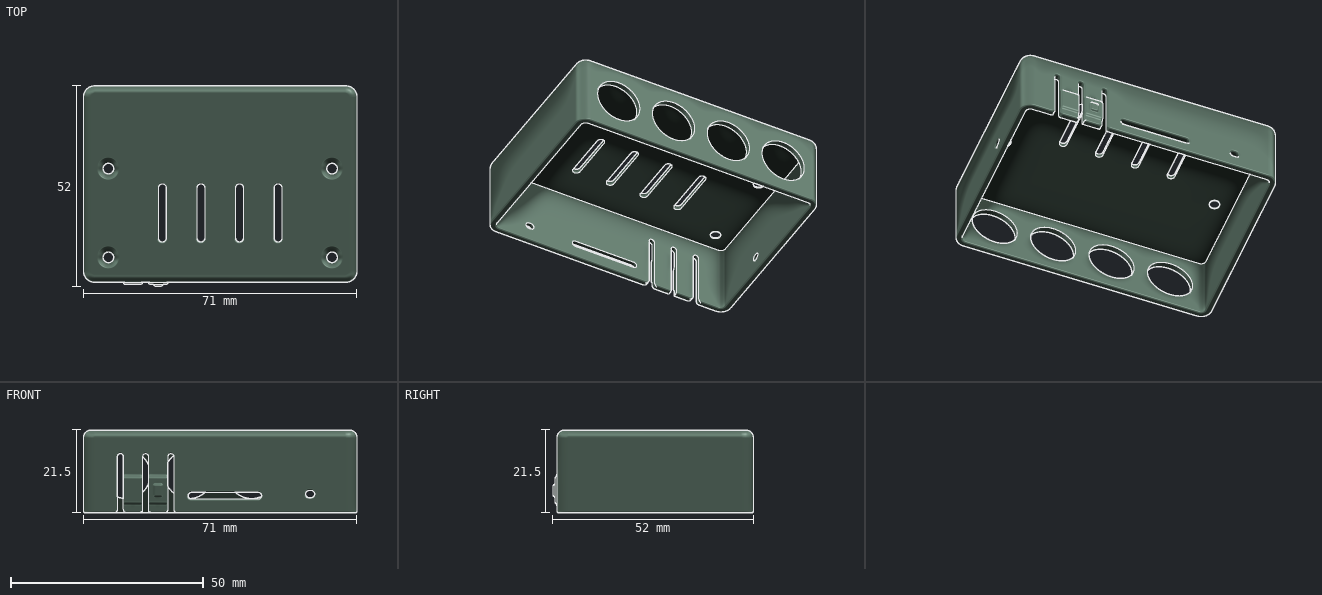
import cadquery as cq
import math

length = 71.0
depth = 51.0
height = 21.5
wall = 1.65
corner_radius = 3.0
top_radius = 2.0
edge_radius = 0.5

cut_reach = 2 * wall
tolerance = 0.01

front_y = -depth / 2
back_y = depth / 2
left_x = -length / 2

board_clearance = 1.35
board_width = 30.0
board_y = front_y + wall + board_clearance + board_width / 2

screw_pitch_x = 58.0
screw_pitch_y = 23.0
screw_hole_diameter = 2.7
screw_head_diameter = 5.55
screw_head_angle = 90.0

vent_count = 4
vent_pitch = 10.0
vent_length = 15.0
vent_width = 2.0

finger_slot_pitch = 6.55
finger_slot_width = 1.5
finger_slot_top = 15.35
slot_foot_radius = 1.0
first_slot_x = -25.9
finger_slot_xs = [first_slot_x + i * finger_slot_pitch for i in range(3)]

root_depth = 0.5

pad_height = 0.5
pad_curve_radius = 1.0
pad_bottom = 1.7
pad_top = 10.1

nub_height = 0.5
nub_curve_radius = 0.5
nub_flat_width = 1.25
nub_flat_height = 2.25
nub_z = 5.8
nub_x = (finger_slot_xs[1] + finger_slot_xs[2]) / 2

card_slot_x = 1.2
card_slot_z = 4.45
card_slot_length = 19.0
card_slot_height = 1.7

light_hole_length = 2.3
light_hole_height = 1.8
light_hole_z = 4.9
front_light_x = 23.3
left_light_y = -6.3

socket_count = 4
socket_pitch = 16.25
socket_diameter = 12.5
socket_z = 10.0


def spread(count, pitch):
    """Evenly spaced positions centred on zero."""
    return [(i - (count - 1) / 2) * pitch for i in range(count)]


def s_curve_run(rise, radius):
    """Length along the wall of an S curve made of two equal tangent arcs."""
    half_angle = math.acos(1 - rise / (2 * radius))
    return 2 * radius * math.sin(half_angle)


def add_s_curve(outline, start, end, radius):
    """Continue an outline from start to end along two mirrored arcs, level at both ends.

    Local x runs along the wall and local y away from it.
    """
    half_angle = math.acos(1 - abs(end[1] - start[1]) / (2 * radius))
    along = math.copysign(radius * math.sin(half_angle / 2), end[0] - start[0])
    away = math.copysign(radius * (1 - math.cos(half_angle / 2)), end[1] - start[1])
    middle = ((start[0] + end[0]) / 2, (start[1] + end[1]) / 2)
    return outline.threePointArc((start[0] + along, start[1] + away), middle).threePointArc(
        (end[0] - along, end[1] - away), end
    )


def swelling_outline(plane, flat, rise, radius):
    """Closed outline of a swelling: a level top of width flat with an S curve on each side."""
    shoulder = flat / 2
    toe = shoulder + s_curve_run(rise, radius)
    outline = plane.moveTo(-toe, -root_depth).lineTo(-toe, 0)
    outline = add_s_curve(outline, (-toe, 0), (-shoulder, rise), radius)
    outline = outline.lineTo(shoulder, rise)
    outline = add_s_curve(outline, (shoulder, rise), (toe, 0), radius)
    return outline.lineTo(toe, -root_depth).close()


def make_shell():
    """Box with rounded corners and top, hollow from below, with a rounded inner rim."""
    outside = (
        cq.Workplane("XY")
        .box(length, depth, height, centered=(True, True, False))
        .edges("|Z")
        .fillet(corner_radius)
        .faces(">Z")
        .edges()
        .fillet(top_radius)
    )
    inside = (
        cq.Workplane("XY")
        .box(length - 2 * wall, depth - 2 * wall, height - wall, centered=(True, True, False))
        .edges("|Z")
        .fillet(corner_radius - wall)
    )
    inner_rim = cq.selectors.BoxSelector(
        (left_x + tolerance, front_y + tolerance, -tolerance),
        (-left_x - tolerance, back_y - tolerance, tolerance),
        boundingbox=True,
    )
    return outside.cut(inside).edges(inner_rim).fillet(edge_radius)


def make_pad():
    """Raised band across both fingers, from the first finger slot to the last."""
    width = finger_slot_xs[2] - finger_slot_xs[0]
    flat = pad_top - pad_bottom - 2 * s_curve_run(pad_height, pad_curve_radius)
    middle = (finger_slot_xs[0], front_y, (pad_top + pad_bottom) / 2)
    plane = cq.Workplane(cq.Plane(origin=middle, xDir=(0, 0, 1), normal=(1, 0, 0)))
    return swelling_outline(plane, flat, pad_height, pad_curve_radius).extrude(width)


def nub_bar(centre, flat, other_flat, x_dir, normal):
    """Straight part of the nub: its profile across one direction, run along the other."""
    plane = cq.Plane(origin=centre, xDir=x_dir, normal=normal)
    start = cq.Workplane(plane).workplane(offset=-other_flat / 2)
    return swelling_outline(start, flat, nub_height, nub_curve_radius).extrude(other_flat)


def nub_corner(x, z):
    """Round swelling that turns the nub profile about one corner of its flat top."""
    toe = s_curve_run(nub_height, nub_curve_radius)
    plane = cq.Plane(origin=(x, front_y - pad_height, z), xDir=(0, 0, 1), normal=(1, 0, 0))
    outline = cq.Workplane(plane).moveTo(0, -root_depth).lineTo(0, nub_height)
    outline = add_s_curve(outline, (0, nub_height), (toe, 0), nub_curve_radius)
    return outline.lineTo(toe, -root_depth).close().revolve(360, (0, 0), (0, 1))


def make_nub():
    """Rounded push point on the pad of the second finger."""
    centre = (nub_x, front_y - pad_height, nub_z)
    nub = nub_bar(centre, nub_flat_height, nub_flat_width, (0, 0, 1), (1, 0, 0))
    nub = nub.union(nub_bar(centre, nub_flat_width, nub_flat_height, (-1, 0, 0), (0, 0, 1)))
    for x in spread(2, nub_flat_width):
        for z in spread(2, nub_flat_height):
            nub = nub.union(nub_corner(nub_x + x, nub_z + z))
    return nub


def finger_slot_cutter(x, foot_radius):
    """Slot with a round top; a foot radius flares its lower end into the bottom rim."""
    half_width = finger_slot_width / 2
    shoulder = finger_slot_top - half_width
    outline = (
        cq.Workplane("XZ", origin=(x, front_y, 0))
        .moveTo(-half_width, foot_radius)
        .lineTo(-half_width, shoulder)
        .threePointArc((0, finger_slot_top), (half_width, shoulder))
        .lineTo(half_width, foot_radius)
    )
    if foot_radius > 0:
        outline = (
            outline.radiusArc((half_width + foot_radius, 0), -foot_radius)
            .lineTo(-half_width - foot_radius, 0)
            .radiusArc((-half_width, foot_radius), -foot_radius)
        )
    return outline.close().extrude(cut_reach, both=True)


def cut_finger_slots(body):
    """Three slots that run out through the bottom rim; only the outer two have rounded feet."""
    first, middle, last = finger_slot_xs
    body = body.cut(finger_slot_cutter(first, slot_foot_radius))
    body = body.cut(finger_slot_cutter(middle, 0))
    return body.cut(finger_slot_cutter(last, slot_foot_radius))


def round_slots_and_rim(body):
    """Round the outer edges of the finger slots and of the bottom rim, which run into each other."""
    chosen = cq.selectors.BoxSelector(
        (left_x, front_y - tolerance, -tolerance),
        (-left_x, front_y + tolerance, tolerance),
        boundingbox=True,
    )
    half_reach = finger_slot_width / 2 + slot_foot_radius + tolerance
    for x in finger_slot_xs:
        chosen = chosen + cq.selectors.BoxSelector(
            (x - half_reach, front_y - cut_reach, -tolerance),
            (x + half_reach, front_y + tolerance, finger_slot_top + tolerance),
            boundingbox=True,
        )
    return body.edges(chosen).fillet(edge_radius)


def cut_opening(body, origin, x_dir, normal, slot_length, slot_width):
    """Round-ended slot through one wall, with a rounded outer edge."""
    plane = cq.Plane(origin=origin, xDir=x_dir, normal=normal)
    cutter = cq.Workplane(plane).slot2D(slot_length, slot_width).extrude(cut_reach, both=True)
    body = body.cut(cutter)
    near_corner = (-slot_length / 2 - tolerance, -slot_width / 2 - tolerance, -tolerance)
    far_corner = (slot_length / 2 + tolerance, slot_width / 2 + tolerance, tolerance)
    mouth = cq.selectors.BoxSelector(
        plane.toWorldCoords(near_corner).toTuple(),
        plane.toWorldCoords(far_corner).toTuple(),
        boundingbox=True,
    )
    return body.edges(mouth).fillet(edge_radius)


def cut_vents(body):
    """Row of ventilation slots through the top, centred over the board."""
    for x in spread(vent_count, vent_pitch):
        body = cut_opening(body, (x, board_y, height), (0, 1, 0), (0, 0, 1), vent_length, vent_width)
    return body


def cut_wall_openings(body):
    """Card slot and light hole in the front wall, and a light hole in the left wall."""
    front = ((1, 0, 0), (0, -1, 0))
    left = ((0, -1, 0), (-1, 0, 0))
    light_hole = (light_hole_length, light_hole_height)
    card_slot = (card_slot_length, card_slot_height)
    body = cut_opening(body, (card_slot_x, front_y, card_slot_z), *front, *card_slot)
    body = cut_opening(body, (front_light_x, front_y, light_hole_z), *front, *light_hole)
    return cut_opening(body, (left_x, left_light_y, light_hole_z), *left, *light_hole)


def cut_sockets(body):
    """Row of round openings through the back wall."""
    centres = [(x, socket_z) for x in spread(socket_count, socket_pitch)]
    cutter = (
        cq.Workplane("XZ", origin=(0, back_y, 0))
        .pushPoints(centres)
        .circle(socket_diameter / 2)
        .extrude(cut_reach, both=True)
    )
    return body.cut(cutter)


def cut_screw_holes(body):
    """Countersunk holes at the corners of the board, with rounded rims."""
    hole_radius = screw_hole_diameter / 2
    head_radius = screw_head_diameter / 2
    cone_depth = (head_radius - hole_radius) / math.tan(math.radians(screw_head_angle / 2))
    profile = (
        cq.Workplane("XZ")
        .lineTo(head_radius, 0)
        .lineTo(hole_radius, -cone_depth)
        .lineTo(hole_radius, -cut_reach)
        .lineTo(0, -cut_reach)
        .close()
    )
    cutter = profile.revolve(360, (0, 0), (0, 1))
    for x in spread(2, screw_pitch_x):
        for y in spread(2, screw_pitch_y):
            centre = (x, board_y + y, height)
            body = body.cut(cutter.translate(centre))
            body = body.edges(cq.selectors.NearestToPointSelector(centre)).fillet(edge_radius)
    return body


body = make_shell().union(make_pad())
body = cut_finger_slots(body)
body = round_slots_and_rim(body)
body = body.union(make_nub())
body = cut_vents(body)
body = cut_wall_openings(body)
body = cut_sockets(body)
result = cut_screw_holes(body)